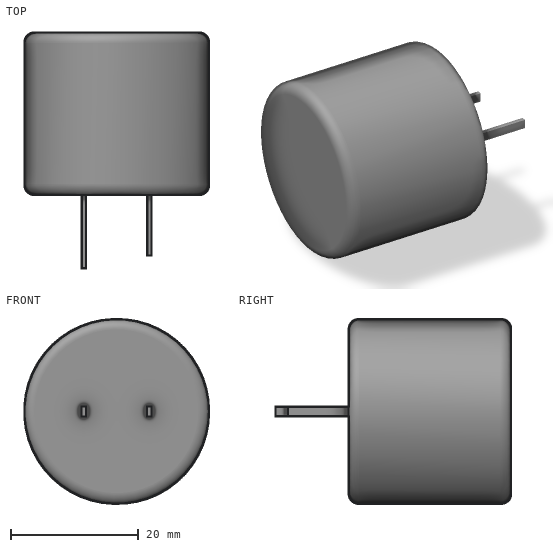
import cadquery as cq

overall_length = 37.0
can_diameter = 29.0
edge_radius = 1.65

long_lead_length = 11.5
short_lead_length = 9.5
lead_width = 0.7
lead_height = 1.5
lead_spacing = 10.25

can_length = overall_length - long_lead_length


def make_can():
    """Round can from Y = 0 to Y = can_length with both rims rounded."""
    can = cq.Workplane("XZ").circle(can_diameter / 2).extrude(-can_length)
    return can.faces("<Y or >Y").edges().fillet(edge_radius)


def make_lead(x, length):
    """Flat lead standing on the front face of the can at Y = 0."""
    return cq.Workplane("XZ").center(x, 0).rect(lead_width, lead_height).extrude(length)


result = (
    make_can()
    .union(make_lead(-lead_spacing / 2, long_lead_length))
    .union(make_lead(lead_spacing / 2, short_lead_length))
)